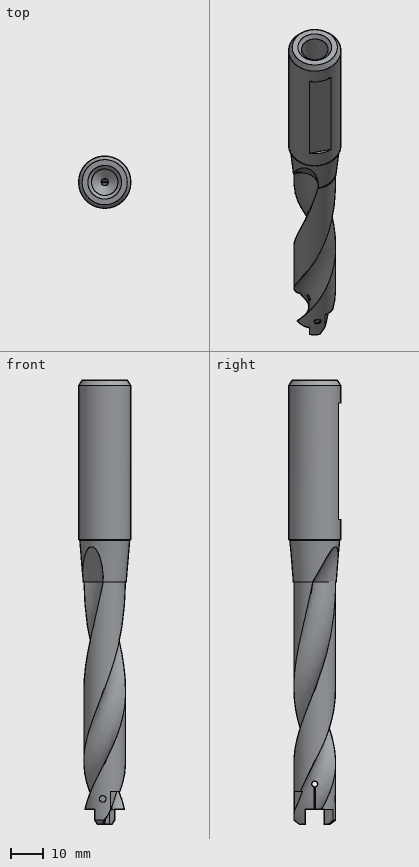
import cadquery as cq
import math

overall_length = 134.64
shank_bottom = 86.4
flute_top = 73.5
seat_floor = 4.5

shank_radius = 15.88 / 2
shank_chamfer_width = 1.1
shank_chamfer_height = 1.65
collar_top_radius = 7.6
collar_bottom_radius = 6.55
collar_edge_height = 0.35
fluted_radius = 6.35
tip_chamfer_width = 1.6
tip_chamfer_height = 1.3

flat_distance = 7.2
flat_bottom = 92.4
flat_top = 127.7

bore_radius = 4.0
bore_mouth_radius = 5.1
bore_depth = 50.0
drill_point_angle = 118.0
feed_radius = 1.05
cross_hole_radius = 0.85
cross_hole_height = 12.2

flute_cutter_radius = 5.2
web_half_thickness = 1.8
flute_count = 2
flute_start_angle = -231.5
flute_twist = 5.577
flute_twist_change = -0.02555
flute_guide_radius = 1.0
flute_guide_points = 16
flute_overrun = 3.0
runout_rise = 18.0
runout_slope = 25.5
runout_turn = 2.9

seat_width = 5.7
slit_width = 0.25
prong_back = 3.05
prong_back_tilt = 30.0
gash_offset = 1.8
gash_tilt = 52.0
gash_top = 9.9
relief_height = 2.9
relief_width = 2.4
relief_depth = 2.4

pin_radius = 1.0
pin_offset = -0.6
pin_height = 7.7
pin_outer_end = 5.9
pin_inner_end = 2.9

clear = 4 * shank_radius


def drill_point_depth(large_radius, small_radius=0.0):
    """Height of a drilled cone between two radii."""
    return (large_radius - small_radius) / math.tan(math.radians(drill_point_angle / 2))


def flute_angle(z):
    """Direction, in degrees from +X, that the first flute faces at height z."""
    return flute_start_angle + flute_twist * z + flute_twist_change * z**2


def polar(radius, angle, z):
    turn = math.radians(angle)
    return cq.Vector(radius * math.cos(turn), radius * math.sin(turn), z)


def on_each_side(solid):
    """The solid and its half-turn copy about the tool axis."""
    return [solid.rotate((0, 0, 0), (0, 0, 1), side * 360 / flute_count) for side in range(flute_count)]


def block(x_range, y_range, z_range):
    sizes = [high - low for low, high in (x_range, y_range, z_range)]
    corner = cq.Vector(x_range[0], y_range[0], z_range[0])
    return cq.Solid.makeBox(*sizes, corner)


def turned_blank():
    return (
        cq.Workplane("XZ")
        .moveTo(0, 0)
        .lineTo(fluted_radius - tip_chamfer_width, 0)
        .lineTo(fluted_radius, tip_chamfer_height)
        .lineTo(fluted_radius, flute_top)
        .lineTo(collar_bottom_radius, flute_top)
        .lineTo(collar_top_radius, shank_bottom - collar_edge_height)
        .lineTo(shank_radius, shank_bottom)
        .lineTo(shank_radius, overall_length - shank_chamfer_height)
        .lineTo(shank_radius - shank_chamfer_width, overall_length)
        .lineTo(0, overall_length)
        .close()
        .revolve(360, (0, 0, 0), (0, 1, 0))
    )


def coolant_bore():
    mouth_bottom = overall_length - (bore_mouth_radius - bore_radius)
    bore_bottom = overall_length - bore_depth
    feed_top = bore_bottom - drill_point_depth(bore_radius, feed_radius)
    return (
        cq.Workplane("XZ")
        .moveTo(0, cross_hole_height - drill_point_depth(feed_radius))
        .lineTo(feed_radius, cross_hole_height)
        .lineTo(feed_radius, feed_top)
        .lineTo(bore_radius, bore_bottom)
        .lineTo(bore_radius, mouth_bottom)
        .lineTo(bore_mouth_radius, overall_length)
        .lineTo(0, overall_length)
        .close()
        .revolve(360, (0, 0, 0), (0, 1, 0))
    )


def twisted_flute():
    bottom = -flute_overrun
    height = flute_top - bottom
    levels = [bottom + height * step / flute_guide_points for step in range(flute_guide_points + 1)]
    guide_points = [polar(flute_guide_radius, flute_angle(z), z) for z in levels]
    guide = cq.Workplane(cq.Edge.makeSpline(guide_points))
    axis = cq.Workplane("XZ").moveTo(0, bottom).lineTo(0, flute_top)
    center = polar(web_half_thickness + flute_cutter_radius, flute_angle(bottom), bottom)
    return (
        cq.Workplane("XY", origin=center.toTuple())
        .circle(flute_cutter_radius)
        .sweep(axis, auxSpine=guide)
        .val()
    )


def flute_runout():
    start_distance = web_half_thickness + flute_cutter_radius
    start_angle = flute_angle(flute_top)
    start = polar(start_distance, start_angle, flute_top)
    outward = polar(math.tan(math.radians(runout_slope)), start_angle, 0)
    sideways = polar(start_distance * math.radians(runout_turn), start_angle + 90, 0)
    travel = (outward + sideways + cq.Vector(0, 0, 1)) * runout_rise
    rim = cq.Wire.makeCircle(flute_cutter_radius, start, cq.Vector(0, 0, 1))
    return cq.Solid.extrudeLinear(rim, [], travel)


def shank_flat():
    return block((-clear, clear), (flat_distance, clear), (flat_bottom, flat_top))


def insert_slot():
    return block((-clear, clear), (-seat_width / 2, seat_width / 2), (-clear, seat_floor))


def clamping_slit():
    return block((-clear, clear), (-slit_width / 2, slit_width / 2), (0, cross_hole_height))


def cross_hole():
    return cq.Solid.makeCylinder(
        cross_hole_radius, 2 * clear, cq.Vector(-clear, 0, cross_hole_height), cq.Vector(1, 0, 0)
    )


def outside_y(x):
    """Y of the -Y side of the fluted part at the given X."""
    return -math.sqrt(fluted_radius**2 - x**2)


def prong_back_cut():
    """Quarter-space beside the -Y prong, leaning in towards the slot."""
    cut = block((-clear, 0), (-clear, clear), (-clear, seat_floor))
    lean = cut.rotate((0, 0, 0), (0, 0, 1), -prong_back_tilt)
    return lean.translate(cq.Vector(-prong_back, outside_y(prong_back), 0)).cut(
        block((-clear, clear), (-seat_width / 2, clear), (-clear, seat_floor))
    )


def chip_gash():
    """Flat facet across the cutting side of the -Y prong."""
    cut = block((0, clear), (-clear, 0), (-clear, gash_top))
    facet = cut.rotate((0, 0, 0), (0, 0, 1), gash_tilt)
    return facet.translate(cq.Vector(gash_offset, outside_y(gash_offset), 0))


def tip_relief():
    """Three-sided wedge off the outer bottom corner of the -Y prong."""
    corner = cq.Vector(gash_offset, -fluted_radius, 0)
    high = corner + cq.Vector(0, 0, relief_height)
    back = corner + cq.Vector(-relief_width, 0, 0)
    inner = corner + cq.Vector(0, relief_depth, 0)
    sides = [(corner, high, back), (corner, inner, high), (corner, back, inner), (high, inner, back)]
    faces = [cq.Face.makeFromWires(cq.Wire.makePolygon(list(side), close=True)) for side in sides]
    return cq.Solid.makeSolid(cq.Shell.makeShell(faces))


def pin_cylinder(outer_end):
    """Cylinder along Y in the -Y prong, from its inner end out to the given distance."""
    return cq.Solid.makeCylinder(
        pin_radius,
        outer_end - pin_inner_end,
        cq.Vector(pin_offset, -outer_end, pin_height),
        cq.Vector(0, 1, 0),
    )


def drill_body():
    body = turned_blank().cut(coolant_bore())
    for cutter in (shank_flat(), insert_slot(), clamping_slit(), cross_hole()):
        body = body.cut(cq.Workplane(cutter))
    paired_cutters = (
        twisted_flute(), flute_runout(), prong_back_cut(), chip_gash(), tip_relief(), pin_cylinder(clear)
    )
    for cutter in paired_cutters:
        for copy in on_each_side(cutter):
            body = body.cut(cq.Workplane(copy))
    return body


body = drill_body()
pins = on_each_side(pin_cylinder(pin_outer_end))

result = cq.Compound.makeCompound([*body.solids().vals(), *pins])